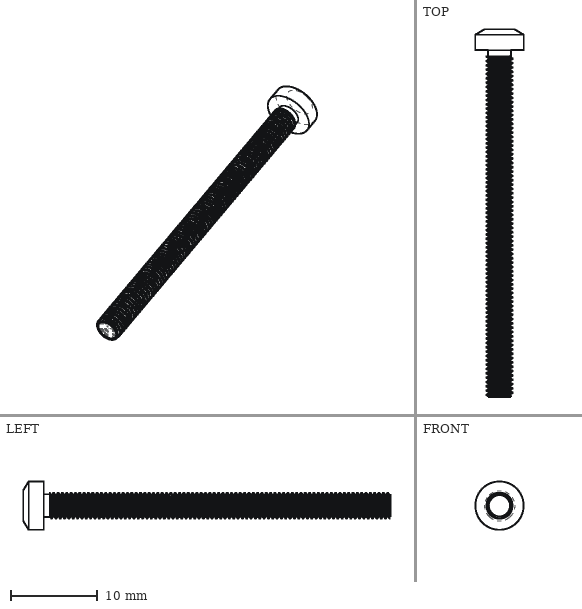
import cadquery as cq
import math

total_length = 42.4
head_diameter = 5.6
head_height = 2.4
shank_length = total_length - head_height

crown_height = 0.65
crown_flat_diameter = 3.48

neck_diameter = 2.65
neck_length = 0.68
tip_length = 0.13

thread_diameter = 3.0
root_diameter = 2.45
pitch = shank_length / 80
crest_width = pitch / 8
flank_angle = 30.0
root_radius = root_diameter / 2
crest_radius = thread_diameter / 2
tooth_height = crest_radius - root_radius
base_width = crest_width + 2 * tooth_height * math.tan(math.radians(flank_angle))

block_count = 13
thread_top = shank_length - neck_length
block_length = (thread_top - tip_length) / block_count
block_twist = 360 * block_length / pitch

half_crest_angle = math.pi * crest_width / pitch
half_base_angle = math.pi * base_width / pitch
flank_steps = 6


def polar(radius, angle):
    """Point at a radius and an angle in radians."""
    return (radius * math.cos(angle), radius * math.sin(angle))


def flank_points(start_angle, end_angle):
    """Spiral flank after its start point; the radius falls evenly from crest to root."""
    points = []
    for step in range(1, flank_steps + 1):
        angle = start_angle + (end_angle - start_angle) * step / flank_steps
        rise = (half_base_angle - abs(angle)) / (half_base_angle - half_crest_angle)
        points.append(polar(root_radius + tooth_height * rise, angle))
    return points


def make_thread_block():
    """Block of thread on the tip core, made by twisting the thread's cross-section."""
    return (
        cq.Workplane("XY")
        .workplane(offset=tip_length)
        .moveTo(*polar(root_radius, -half_base_angle))
        .spline(flank_points(-half_base_angle, -half_crest_angle), includeCurrent=True)
        .threePointArc(polar(crest_radius, 0), polar(crest_radius, half_crest_angle))
        .spline(flank_points(half_crest_angle, half_base_angle), includeCurrent=True)
        .threePointArc(polar(root_radius, math.pi), polar(root_radius, -half_base_angle))
        .close()
        .twistExtrude(block_length, block_twist)
    )


def make_thread():
    """Stack of thread blocks, sewn into one solid along their side walls."""
    block = make_thread_block()
    skin = block.faces("<Z").vals()
    for index in range(block_count):
        turned_block = block.rotate((0, 0, 0), (0, 0, 1), index * block_twist)
        raised_block = turned_block.translate((0, 0, index * block_length))
        skin += raised_block.faces("not |Z").vals()
    skin += raised_block.faces(">Z").vals()
    return cq.Workplane(cq.Solid.makeSolid(cq.Shell.makeShell(skin)))


def make_cylinder(diameter, bottom, top):
    """Cylinder on the screw axis between two heights."""
    return cq.Workplane("XY").workplane(offset=bottom).circle(diameter / 2).extrude(top - bottom)


def make_head():
    """Cylindrical head with a conical crown."""
    return (
        cq.Workplane("XZ")
        .moveTo(0, shank_length)
        .lineTo(head_diameter / 2, shank_length)
        .lineTo(head_diameter / 2, total_length - crown_height)
        .lineTo(crown_flat_diameter / 2, total_length)
        .lineTo(0, total_length)
        .close()
        .revolve(360, (0, 0, 0), (0, 1, 0))
    )


tip = make_cylinder(root_diameter, 0, tip_length)
neck = make_cylinder(neck_diameter, thread_top, shank_length)
screw = make_thread().union(tip).union(neck).union(make_head()).solids()

result = screw.rotate((0, 0, 0), (0, 0, 1), 90).rotate((0, 0, 0), (1, 0, 0), -90)